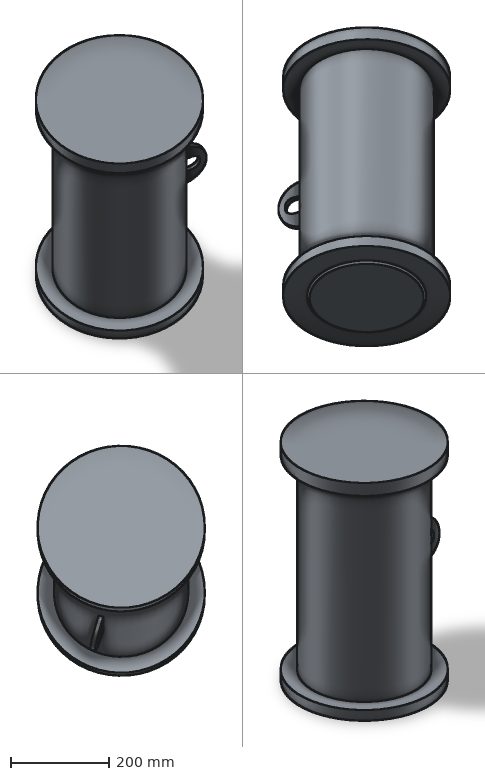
import cadquery as cq

total_height = 560.0
flange_diameter = 340.0
body_diameter = 273.0

top_flange_thickness = 30.0
bottom_flange_thickness = 25.0
boss_diameter = 242.0
boss_height = 5.0
boss_taper = 5.0

overall_depth = 364.0
lug_thickness = 10.0
lug_center_y = body_diameter / 2
lug_center_z = total_height / 2
lug_tip_y = overall_depth - flange_diameter / 2
lug_radius = lug_tip_y - lug_center_y
slot_width = 40.5
slot_tip_wall = 14.5


def disc(diameter, bottom_z, height):
    """Upright cylinder on the part axis."""
    return cq.Workplane("XY").workplane(offset=bottom_z).circle(diameter / 2).extrude(height)


def make_lug():
    """Lug plate with a round-ended slot running out of the body."""
    plane = cq.Workplane("YZ")
    plate = plane.center(lug_center_y, lug_center_z).circle(lug_radius)
    plate = plate.extrude(lug_thickness / 2, both=True)

    slot_end_y = lug_tip_y - slot_tip_wall
    slot_center_y = slot_end_y - slot_width / 2
    slot_bottom_z = lug_center_z - slot_width / 2
    slot_top_z = lug_center_z + slot_width / 2
    slot = (
        plane.moveTo(lug_center_y - slot_width / 2, slot_bottom_z)
        .lineTo(slot_center_y, slot_bottom_z)
        .threePointArc((slot_end_y, lug_center_z), (slot_center_y, slot_top_z))
        .lineTo(lug_center_y - slot_width / 2, slot_top_z)
        .close()
        .extrude(lug_thickness, both=True)
    )
    return plate.cut(slot)


body_bottom_z = boss_height + bottom_flange_thickness
body_top_z = total_height - top_flange_thickness

boss = (
    cq.Workplane("XY")
    .circle(boss_diameter / 2 - boss_taper)
    .workplane(offset=boss_height)
    .circle(boss_diameter / 2)
    .loft(ruled=True)
)
bottom_flange = disc(flange_diameter, boss_height, bottom_flange_thickness)
body = disc(body_diameter, body_bottom_z, body_top_z - body_bottom_z)
top_flange = disc(flange_diameter, body_top_z, top_flange_thickness)

result = make_lug().union(body).union(bottom_flange).union(top_flange).union(boss)